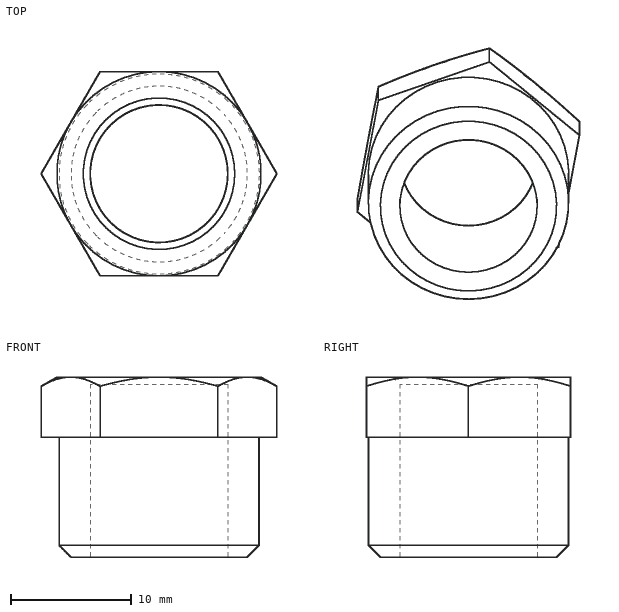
import cadquery as cq
import math

across_corners = 19.63
across_flats = across_corners * math.cos(math.radians(30))
total_height = 15.0
head_height = 5.0
shank_height = total_height - head_height

shank_diameter = 16.67
shank_chamfer = 1.0
bore_diameter = 11.42
bore_mouth_diameter = 12.6
bore_chamfer = (bore_mouth_diameter - bore_diameter) / 2

bevel_angle = 30.0


def make_head():
    """Hexagonal head with corners on the X axis and a conical bevel on top."""
    prism = (
        cq.Workplane("XY")
        .workplane(offset=shank_height)
        .polygon(6, across_corners)
        .extrude(head_height)
    )
    top_radius = across_flats / 2
    base_radius = top_radius + head_height / math.tan(math.radians(bevel_angle))
    bevel_cone = (
        cq.Workplane("XZ")
        .moveTo(0, shank_height)
        .lineTo(base_radius, shank_height)
        .lineTo(top_radius, total_height)
        .lineTo(0, total_height)
        .close()
        .revolve(360, (0, 0, 0), (0, 1, 0))
    )
    return prism.intersect(bevel_cone)


def make_shank():
    """Round shank with a chamfered lower end."""
    shank = cq.Workplane("XY").circle(shank_diameter / 2).extrude(shank_height)
    return shank.faces("<Z").edges().chamfer(shank_chamfer)


def make_bore():
    """Through bore that widens to a 45 degree countersink at the top."""
    bore_radius = bore_diameter / 2
    return (
        cq.Workplane("XZ")
        .lineTo(bore_radius, 0)
        .lineTo(bore_radius, total_height - bore_chamfer)
        .lineTo(bore_mouth_diameter / 2, total_height)
        .lineTo(0, total_height)
        .close()
        .revolve(360, (0, 0, 0), (0, 1, 0))
    )


result = make_shank().union(make_head()).cut(make_bore())